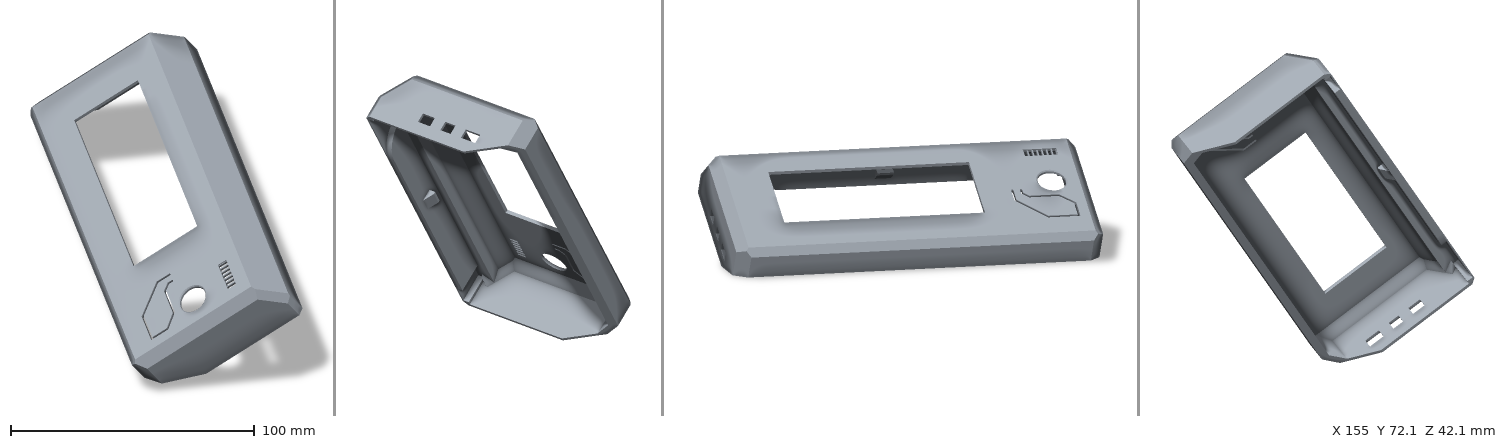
import cadquery as cq
import math

length = 155.0
depth = 69.9
height = 26.2
tilt = 30.0

panel_thickness = 1.5
wall = 3.3
end_wall = 1.5
ledge_y = 62.0
ledge_z = 12.7

back_height = 11.8
slope_run = 9.6
front_chamfer = 3.0
foot_height = 12.4

back_end_chamfer = 2.3
slope_end_chamfer = 3.0
panel_end_chamfer = 4.2
front_end_chamfer = 5.1

window_length = 84.8
window_width = 31.5
window_x = -12.7
window_y = 33.0

knob_diameter = 12.0
knob_chamfer = 0.5
knob_x = 61.8
knob_y = 35.2

grille_length = 14.1
grille_width = 4.0
grille_x = 60.8
grille_y = 52.7
grille_recess = 0.5
grille_slots = 7
grille_pitch = 2.0
grille_slot_width = 1.4

button_slit = 1.0
button_path = [
    (44.0, 30.0), (44.0, 24.0), (55.5, 12.9), (68.5, 12.9), (68.5, 20.6),
    (62.8, 25.7), (50.2, 25.7), (47.7, 28.2), (47.7, 30.0),
]

recess_skin = 0.6
left_recess_x = -55.5
left_recess_radius = 13.0
right_recess_x = 64.6

hook_width = 7.0
hook_reach = 2.8
hook_top = 9.0
hook_nose = 1.1
hook_drop = 4.3

slot_y = 32.9
slot_length = 28.0
slot_z = 7.5
slot_height = 4.2
plug_length = 5.1
plug_centres = (28.4, 38.5)

half_length = length / 2
foot_length = foot_height / math.tan(math.radians(tilt))
inner_back = depth - wall
inner_top = height - panel_thickness
slope_angle = math.atan2(height - back_height, slope_run)
over = 7.8


def slope_y(z, inset):
    """y of the rear slope, moved inwards by inset, at height z."""
    return depth - (z - back_height) / math.tan(slope_angle) - inset / math.sin(slope_angle)


def slope_z(y, inset):
    """z of the rear slope, moved inwards by inset, at depth y."""
    return back_height + (depth - inset / math.sin(slope_angle) - y) * math.tan(slope_angle)


def prism(points, x_start, x_end):
    """Extrude a (y, z) outline along x."""
    return cq.Workplane("YZ", origin=(x_start, 0, 0)).polyline(points).close().extrude(x_end - x_start)


def end_chamfer(start, end, size, half):
    """Wedge pair that bevels the edge start-end of a (y, z) profile at x = -half and x = half."""
    run_y = end[0] - start[0]
    run_z = end[1] - start[1]
    edge = math.hypot(run_y, run_z)
    plane = cq.Plane(
        origin=(0, start[0], start[1]),
        xDir=(1, 0, 0),
        normal=(0, run_y / edge, run_z / edge),
    )
    wedges = cq.Workplane("XY")
    for side in (-1, 1):
        outline = [
            (side * (half + over), over),
            (side * (half + over), -size - over),
            (side * (half - size - over), over),
        ]
        wedge = cq.Workplane(plane).workplane(offset=-over).polyline(outline).close()
        wedges = wedges.add(wedge.extrude(edge + 2 * over))
    return wedges.combine()


def chamfered_block(points, half, bevels):
    """Prism of a profile between x = -half and x = half with bevelled end edges."""
    block = prism(points, -half, half)
    for start, end, size in bevels:
        block = block.cut(end_chamfer(start, end, size, half))
    return block


def tilted(body):
    """Turn a body from the housing frame to its final attitude, with the foot level."""
    return body.rotate((0, 0, 0), (1, 0, 0), tilt)


def outer_block():
    back_bottom = (depth, 0)
    back_top = (depth, back_height)
    panel_back = (depth - slope_run, height)
    panel_front = (front_chamfer, height)
    front_top = (0, height - front_chamfer)
    front_bottom = (0, foot_height)
    points = [back_bottom, back_top, panel_back, panel_front, front_top, front_bottom, (foot_length, 0)]
    bevels = [
        (back_bottom, back_top, back_end_chamfer),
        (back_top, panel_back, slope_end_chamfer),
        (panel_back, panel_front, panel_end_chamfer),
        (front_top, front_bottom, front_end_chamfer),
    ]
    return chamfered_block(points, half_length, bevels)


def cavity():
    ledge_back = (inner_back, ledge_z)
    ledge_front = (ledge_y, ledge_z)
    slope_bottom = (ledge_y, slope_z(ledge_y, wall))
    roof_back = (slope_y(inner_top, wall), inner_top)
    roof_front = (wall, inner_top)
    front_bottom = (wall, -over)
    points = [
        (inner_back, -over), ledge_back, ledge_front, slope_bottom, roof_back, roof_front, front_bottom,
    ]
    bevels = [
        (slope_bottom, roof_back, slope_end_chamfer),
        (roof_back, roof_front, panel_end_chamfer),
        (roof_front, front_bottom, front_end_chamfer),
    ]
    return chamfered_block(points, half_length - end_wall, bevels)


def panel_box(x, y, size_x, size_y, drop):
    """Cutter that sinks into the panel by drop."""
    return cq.Workplane("XY").box(size_x, size_y, drop + over, centered=(True, True, False)).translate(
        (x, y, height - drop)
    )


def knob_hole():
    radius = knob_diameter / 2
    start = inner_top - over
    hole = cq.Workplane("XY", origin=(knob_x, knob_y, start)).circle(radius).extrude(2 * over)
    cone = cq.Solid.makeCone(
        radius, radius + knob_chamfer, knob_chamfer, pnt=cq.Vector(knob_x, knob_y, height - knob_chamfer)
    )
    return hole.union(cq.Workplane(cone))


def grille():
    cutter = panel_box(grille_x, grille_y, grille_length, grille_width, grille_recess)
    for index in range(grille_slots):
        x = grille_x + (index - (grille_slots - 1) / 2) * grille_pitch
        cutter = cutter.union(panel_box(x, grille_y, grille_slot_width, grille_width, panel_thickness + over))
    return cutter


def button_slit_cutter():
    path = cq.Workplane("XY", origin=(0, 0, inner_top - over)).polyline(button_path)
    return path.offset2D(button_slit / 2, "intersection").extrude(panel_thickness + 2 * over)


def back_recesses():
    """Left recess with one rounded corner and square right recess, both below the ledge."""
    reach = wall - recess_skin
    inner_end = half_length - wall
    left = (
        cq.Workplane("XZ", origin=(0, depth - recess_skin, 0))
        .moveTo(-inner_end, ledge_z)
        .lineTo(left_recess_x, ledge_z)
        .lineTo(left_recess_x, left_recess_radius)
        .radiusArc((left_recess_x + left_recess_radius, 0), -left_recess_radius)
        .lineTo(left_recess_x + left_recess_radius, -over)
        .lineTo(-inner_end, -over)
        .close()
        .extrude(reach)
    )
    right = prism(
        [
            (inner_back, ledge_z),
            (depth - recess_skin, ledge_z),
            (depth - recess_skin, -over),
            (inner_back, -over),
        ],
        right_recess_x,
        inner_end,
    )
    return left.union(right)


def snap_hook():
    nose_y = inner_back - hook_reach
    points = [
        (inner_back, hook_top),
        (nose_y, hook_top),
        (nose_y, hook_top - hook_nose),
        (inner_back, hook_top - hook_nose - hook_drop),
    ]
    return prism(points, -hook_width / 2, hook_width / 2)


def end_slot():
    return cq.Workplane("XY").box(end_wall, slot_length, slot_height).translate(
        (-half_length + end_wall / 2, slot_y, slot_z)
    )


def housing_body():
    body = outer_block().cut(cavity())
    body = body.cut(panel_box(window_x, window_y, window_length, window_width, panel_thickness + over))
    body = body.cut(knob_hole())
    body = body.cut(grille())
    body = body.cut(button_slit_cutter())
    body = body.cut(back_recesses())
    body = body.union(snap_hook())
    return body.cut(end_slot())


def slot_plug(y):
    return cq.Workplane("XY").box(end_wall, plug_length, slot_height).translate(
        (-half_length + end_wall / 2, y, slot_z)
    )


housing = tilted(housing_body())
plugs = [tilted(slot_plug(y)) for y in plug_centres]
result = cq.Compound.makeCompound([housing.val(), *[plug.val() for plug in plugs]])